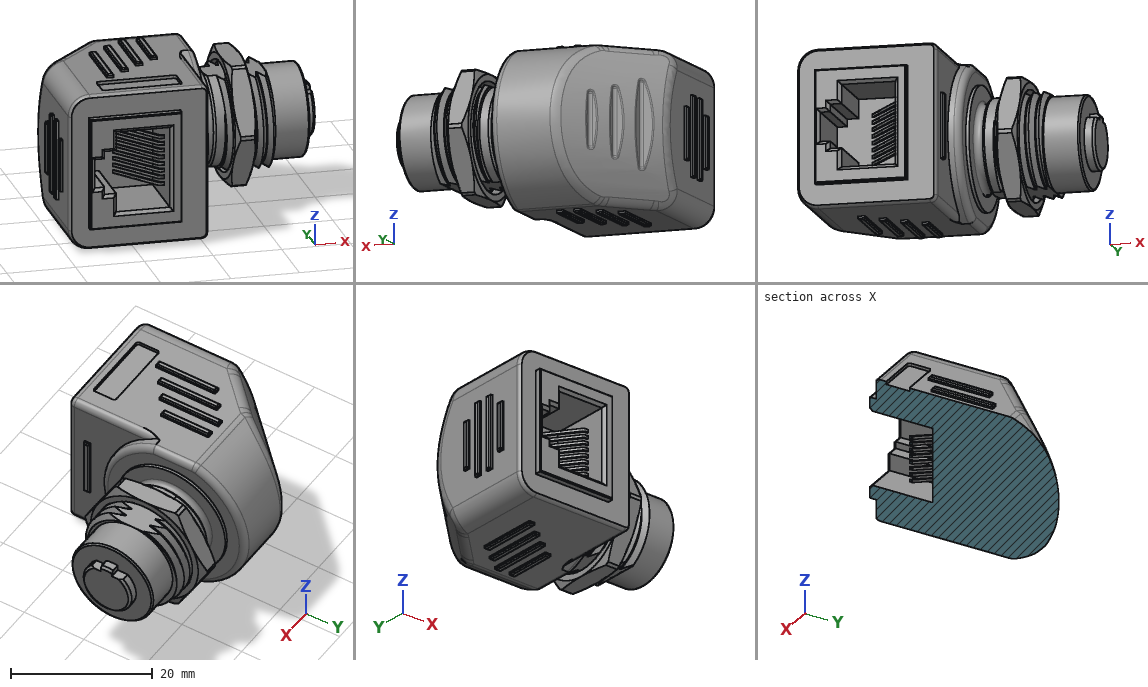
import cadquery as cq
import math


overall_length = 40.1
overall_height = 24.0
body_height = 23.0
half_height = body_height / 2
dome_radius = 12.05
wall_right_x = 20.3
flange_start_x = 18.05
flange_end_x = 22.15
front_y = -18.55
side_edge_radius = 3.0
right_edge_radius = 1.0
flange_rim_radius = 1.0
shoulder_blend_radius = 2.6
runout_start_y = -6.8
runout_end_y = -3.4
rim_radius = 0.92
rim_trim = 0.2

slant_offset = 0.2
slant_crown_radius = 22.05
slant_edge_radius = 2.0
slant_middle_x = 6.0

groove_places = [(3.53, 1.4, 6.58), (6.3, 4.65, 5.3), (8.85, 7.5, 4.25)]
groove_fillet = 0.5
groove_rim_radius = 0.3
groove_reach = 4.0

rib_height = (overall_height - body_height) / 2
rib_width = 1.0
rib_chamfer = 0.2
face_rib_first_x = 7.7
face_rib_pitch = 2.6
face_ribs = [(-2.0, 9.95), (0.0, 9.95), (1.92, 9.95), (1.92, 7.98)]
side_rib_first_y = -7.0
side_rib_pitch = 2.5
side_rib_lengths = [7.65, 11.75, 11.75, 7.65]
right_rib_y = -15.5
right_rib_length = 9.5

label_left_x = 5.3
label_length = 11.63
label_width = 3.73
label_center_y = -15.0
label_depth = 0.5
label_corner_radius = 0.4

frame_left_x = 2.85
frame_right_x = 16.15
frame_height = 16.45
frame_front_y = -19.65
frame_chamfer = 0.15
socket_right_x = 14.95
socket_left_x = 6.18
socket_half_height = 6.45
latch_steps = [(4.5, 3.7), (3.1, 2.6)]
socket_chamfer = 0.5
socket_back_y = -9.42

contact_count = 8
contact_pitch = 1.0
contact_width = 0.45
contact_root_x = 8.65
contact_bend_x = 13.75
contact_tip_y = -16.15
contact_thickness = 0.25
contact_bend_radius = 0.6

collar_end_x = 22.6
collar_radius = 9.02
neck_groove_radius = 6.2
neck_shoulder_radius = 6.8
neck_groove_end_x = 24.0
shank_start_x = 24.35
shank_radius = 7.1
thread_start_x = 25.65
thread_end_x = 32.9
thread_radius = 8.0
thread_root_radius = 7.0
thread_pitch = 1.5
thread_base_width = 1.45
thread_crest_x = 30.28
barrel_end_x = 38.1
barrel_radius = 6.8
barrel_chamfer = 0.25
insert_end_x = overall_length - rib_height
insert_radius = 4.05
insert_chamfer = 0.35
insert_flat_z = 3.1
key_width = 1.9

nut_start_x = 26.63
nut_width = 3.0
nut_across_flats = 18.0
nut_corner_radius = 10.23
nut_face_radius = nut_across_flats / 2
nut_chamfer = 0.5


def box_between(x0, x1, y0, y1, z0, z1):
    return cq.Workplane("XY").box(x1 - x0, y1 - y0, z1 - z0, centered=False).translate((x0, y0, z0))


def x_cylinder(x0, x1, radius):
    return cq.Workplane("YZ").workplane(offset=x0).circle(radius).extrude(x1 - x0)


def flattened_disc(x0, x1):
    """Disc on the connector axis, cut flat above and below, with the shoulders at +Y blended."""
    slab = box_between(x0, x1, -dome_radius, dome_radius, -half_height, half_height)
    disc = x_cylinder(x0, x1, dome_radius).intersect(slab)
    return disc.edges("|X").edges(">Z or <Z").edges(">Y").fillet(shoulder_blend_radius)


def make_edge_runout():
    """Web that ends the right-hand edge rounding in a curve, beside the flange."""
    inner_x = wall_right_x - right_edge_radius
    runout_length = runout_end_y - runout_start_y
    runout_radius = (right_edge_radius**2 + runout_length**2) / (2 * right_edge_radius)
    web = (cq.Workplane("XY").moveTo(inner_x, runout_start_y)
           .radiusArc((wall_right_x, runout_end_y), runout_radius)
           .lineTo(inner_x, runout_end_y).close())
    return web.extrude(half_height, both=True)


def make_shell():
    half_slab = (-half_height, half_height)

    block = box_between(0, wall_right_x, front_y - rim_trim, 0, *half_slab)
    block = block.edges("|Y and >X").fillet(right_edge_radius)
    block = block.edges("|Y and <X").fillet(side_edge_radius)
    block = block.faces("<Y").edges().fillet(rim_radius)
    block = block.intersect(box_between(0, wall_right_x, front_y, 0, *half_slab))

    dome_side = box_between(0, wall_right_x, 0, dome_radius, *half_slab)
    dome = flattened_disc(0, wall_right_x).intersect(dome_side)
    flange = flattened_disc(flange_start_x, flange_end_x)
    flange = flange.faces(">X").edges().fillet(flange_rim_radius)
    return block.union(dome).union(flange).union(make_edge_runout())


def cut_slant(shell):
    """Trim the back corner to a crowned slant and round the slant's whole border."""
    crown = cq.Workplane("XZ").center(slant_crown_radius, 0).circle(slant_crown_radius)
    crown = crown.extrude(2 * overall_length, both=True)
    crown = crown.rotate((0, 0, 0), (0, 0, 1), -45).translate((slant_offset, 0, 0))
    shell = shell.intersect(crown)
    slant_middle = (slant_middle_x, slant_middle_x - slant_offset, 0)
    slant = shell.faces(cq.selectors.NearestToPointSelector(slant_middle))
    return slant.edges().fillet(slant_edge_radius)


def cut_finger_grooves(shell):
    for corner_x, corner_y, half_length in groove_places:
        groove = box_between(corner_x - groove_reach, corner_x, corner_y, corner_y + groove_reach,
                             -half_length, half_length)
        shell = shell.cut(groove.faces(">X or <Y").edges().fillet(groove_fillet))
    mouths = [wire for face in shell.faces("%CYLINDER").vals() for wire in face.innerWires()]
    mouth_edges = [edge for mouth in mouths for edge in mouth.Edges()]
    return shell.newObject(mouth_edges).fillet(groove_rim_radius)


def make_rib(length):
    """Rib along Y, standing on the XY plane with its outer edges chamfered."""
    rib = cq.Workplane("XY").box(rib_width, length, rib_height, centered=(True, True, False))
    return rib.faces(">Z").edges().chamfer(rib_chamfer)


def make_face_ribs():
    """Ribs on the upper and lower faces."""
    ribs = []
    for index, (end_y, length) in enumerate(face_ribs):
        center = (face_rib_first_x + index * face_rib_pitch, end_y - length / 2, half_height)
        upper = make_rib(length).translate(center)
        ribs += [upper, upper.mirror("XY")]
    return ribs


def make_side_ribs():
    """Upright ribs on the left wall, and one on the right wall."""
    ribs = []
    for index, length in enumerate(side_rib_lengths):
        upright = make_rib(length).rotate((0, 0, 0), (1, 0, 0), 90).rotate((0, 0, 0), (0, 0, 1), -90)
        ribs.append(upright.translate((0, side_rib_first_y - index * side_rib_pitch, 0)))
    upright = make_rib(right_rib_length).rotate((0, 0, 0), (1, 0, 0), 90).rotate((0, 0, 0), (0, 0, 1), 90)
    ribs.append(upright.translate((wall_right_x, right_rib_y, 0)))
    return ribs


def make_label_recess():
    center = (label_left_x + label_length / 2, label_center_y, half_height - label_depth)
    recess = cq.Workplane("XY").box(label_length, label_width, label_depth, centered=(True, True, False))
    return recess.edges("|Z").fillet(label_corner_radius).translate(center)


def make_jack_frame():
    frame = box_between(frame_left_x, frame_right_x, frame_front_y, front_y,
                        -frame_height / 2, frame_height / 2)
    return frame.faces("<Y").edges().chamfer(frame_chamfer)


def socket_outline(inset):
    """Stepped socket outline as X, Z points, moved inwards by the inset."""
    steps = [(socket_left_x, socket_half_height), *latch_steps]
    upper = [(socket_right_x - inset, socket_half_height - inset)]
    for index, (left_x, step_half_height) in enumerate(steps):
        if index:
            upper.append((steps[index - 1][0] + inset, step_half_height - inset))
        upper.append((left_x + inset, step_half_height - inset))
    return upper + [(x, -z) for x, z in reversed(upper)]


def make_socket():
    """Jack cavity with a 45 degree lead-in at its mouth."""
    mouth = cq.Workplane("XZ", origin=(0, frame_front_y, 0)).polyline(socket_outline(0)).close()
    throat = mouth.workplane(offset=-socket_chamfer).polyline(socket_outline(socket_chamfer)).close()
    lead_in = throat.loft(ruled=True, combine=True)
    cavity = cq.Workplane("XZ", origin=(0, frame_front_y, 0)).polyline(socket_outline(socket_chamfer)).close()
    return lead_in.union(cavity.extrude(frame_front_y - socket_back_y))


def make_contacts():
    """Spring contacts that lean from the socket's back wall to its right wall."""
    wall_x = socket_right_x - socket_chamfer
    outline = [
        (contact_root_x, socket_back_y),
        (contact_bend_x, contact_tip_y),
        (wall_x, contact_tip_y),
        (wall_x, contact_tip_y + contact_thickness),
        (contact_bend_x + contact_thickness, contact_tip_y + contact_thickness),
        (contact_root_x + contact_thickness, socket_back_y),
    ]
    bend = (contact_bend_x, contact_tip_y, 0)
    contacts = []
    for index in range(contact_count):
        center_z = (index - (contact_count - 1) / 2) * contact_pitch
        contact = cq.Workplane("XY").polyline(outline).close().extrude(contact_width / 2, both=True)
        contact = contact.edges(cq.selectors.NearestToPointSelector(bend)).fillet(contact_bend_radius)
        contacts.append(contact.translate((0, 0, center_z)))
    return contacts


def make_thread():
    """Right-handed V thread, trimmed square at both ends and flat above and below."""
    lead_turns = math.ceil((thread_crest_x - thread_start_x) / thread_pitch)
    helix_start_x = thread_crest_x - lead_turns * thread_pitch
    helix_length = thread_end_x - helix_start_x + thread_pitch
    half_base = thread_base_width / 2
    path = cq.Wire.makeHelix(thread_pitch, helix_length, thread_root_radius)
    profile = cq.Workplane("XZ").polyline(
        [(thread_root_radius, -half_base), (thread_radius, 0), (thread_root_radius, half_base)]).close()
    thread = profile.sweep(cq.Workplane(obj=path), isFrenet=True)
    thread = thread.rotate((0, 0, 0), (1, 1, 1), 120).translate((helix_start_x, 0, 0))
    flattened_length = box_between(thread_start_x, thread_end_x, -overall_length, overall_length,
                                   -barrel_radius, barrel_radius)
    return thread.intersect(flattened_length)


def make_shank():
    """Threaded shank with a flat above and below."""
    shank = x_cylinder(shank_start_x, thread_end_x, shank_radius)
    flats = box_between(shank_start_x, thread_end_x, -shank_radius, shank_radius,
                        -barrel_radius, barrel_radius)
    return shank.intersect(flats).union(make_thread())


def make_insert():
    """Contact insert with a flat top that leaves one raised key."""
    insert = x_cylinder(barrel_end_x, insert_end_x, insert_radius)
    insert = insert.faces(">X").edges().chamfer(insert_chamfer)
    for side in (-1, 1):
        beside_key = cq.Workplane("XY").box(2 * insert_radius, insert_radius, insert_radius)
        beside_key = beside_key.translate((
            barrel_end_x + insert_radius,
            side * (key_width + insert_radius) / 2,
            insert_flat_z + insert_radius / 2,
        ))
        insert = insert.cut(beside_key)
    return insert


def make_neck():
    """Neck with a round groove and a conical shoulder up to the flats of the shank."""
    groove_middle = ((collar_end_x + neck_groove_end_x) / 2, neck_groove_radius)
    half_section = (cq.Workplane("XY").moveTo(collar_end_x, 0).lineTo(collar_end_x, neck_shoulder_radius)
                    .threePointArc(groove_middle, (neck_groove_end_x, neck_shoulder_radius))
                    .lineTo(shank_start_x, shank_radius).lineTo(shank_start_x, 0).close())
    neck = half_section.revolve(360, (0, 0, 0), (1, 0, 0))
    flats = box_between(collar_end_x, shank_start_x, -shank_radius, shank_radius,
                        -barrel_radius, barrel_radius)
    return neck.intersect(flats)


def make_connector():
    collar = x_cylinder(flange_end_x, collar_end_x, collar_radius)
    barrel = x_cylinder(thread_end_x, barrel_end_x, barrel_radius)
    barrel = barrel.faces(">X").edges().chamfer(barrel_chamfer)
    return collar.union(make_neck()).union(make_shank()).union(barrel).union(make_insert())


def make_housing():
    housing = cut_finger_grooves(cut_slant(make_shell()))
    for rib in make_face_ribs() + make_side_ribs():
        housing = housing.union(rib)
    housing = housing.cut(make_label_recess()).union(make_jack_frame()).cut(make_socket())
    for contact in make_contacts():
        housing = housing.union(contact)
    return housing.union(make_connector())


def make_nut():
    """Hexagon nut with flats above and below, turned corners and a plain bore at the thread crest."""
    corner_diameter = nut_across_flats / math.cos(math.pi / 6)
    hexagon = cq.Workplane("YZ").polygon(6, corner_diameter).extrude(nut_width)
    turned = cq.Workplane("XY").polyline([
        (0, thread_radius),
        (0, nut_face_radius),
        (nut_chamfer, nut_corner_radius),
        (nut_width - nut_chamfer, nut_corner_radius),
        (nut_width, nut_face_radius),
        (nut_width, thread_radius),
    ]).close().revolve(360, (0, 0, 0), (1, 0, 0))
    return hexagon.intersect(turned).translate((nut_start_x, 0, 0))


housing = make_housing()
nut = make_nut()
result = cq.Compound.makeCompound([housing.val(), nut.val()])